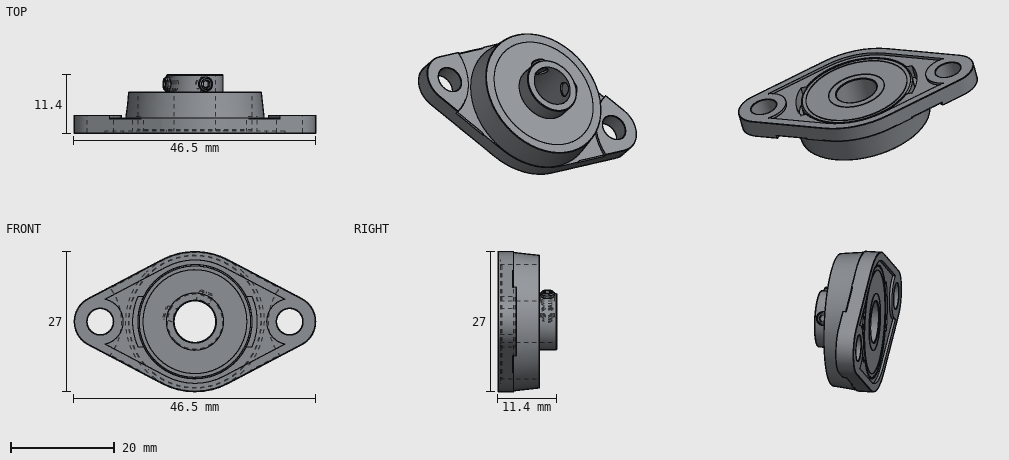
import cadquery as cq
import math

length = 46.5
centre_radius = 13.51
end_radius = 5.0
end_centre_x = length / 2 - end_radius
mounting_hole_places = (-end_centre_x, end_centre_x)
mounting_hole_diameter = 5.0
flange_thickness = 3.0
flange_back_chamfer = 0.25
unchamfered_radius = 14.28
edge_chamfer = 0.1

pad_thickness = 3.55
pad_inner_x = 14.15
pad_edge_radius = 10.8

pocket_depth = 0.5
rim_width = 1.65
land_radius = 4.4

boss_base_radius = 13.35
boss_top_radius = 12.8
boss_top_y = 8.0

slot_diameter = 24.0
slot_height = 9.65
slot_bottom_y = 3.25

bearing_diameter = 22.0
bearing_chamfer = 0.3
shaft_diameter = 8.0
collar_diameter = 10.9
bearing_face_y = 0.5
collar_end_y = 11.35
collar_chamfer = 0.15
seal_inner_diameter = 11.0
seal_outer_diameter = 20.0
seal_depth = 0.1
bore_chamfer = 0.15

screw_diameter = 2.7
screw_chamfer = 0.3
screw_y = 9.55
screw_outer_reach = 6.15
screw_inner_reach = shaft_diameter / 2 + 0.25
screw_angles = (68.5, 162.5)
hex_across_flats = 1.4
hex_depth = 0.95


def cylinder(radius, start_y, end_y, x=0.0):
    """A cylinder along Y between two Y positions."""
    disc = cq.Workplane("XZ", origin=(x, start_y, 0)).circle(radius)
    return disc.extrude(start_y - end_y)


def rhombus(inset, start_y, end_y):
    """The rounded rhombus, moved in by an inset, between two Y positions."""
    big = centre_radius - inset
    small = end_radius - inset
    sine = (big - small) / end_centre_x
    cosine = math.sqrt(1 - sine**2)
    big_x, big_z = big * sine, big * cosine
    small_x, small_z = end_centre_x + small * sine, small * cosine
    return (
        cq.Workplane("XZ", origin=(0, start_y, 0))
        .moveTo(-big_x, big_z)
        .threePointArc((0, big), (big_x, big_z))
        .lineTo(small_x, small_z)
        .threePointArc((end_centre_x + small, 0), (small_x, -small_z))
        .lineTo(big_x, -big_z)
        .threePointArc((0, -big), (-big_x, -big_z))
        .lineTo(-small_x, -small_z)
        .threePointArc((-end_centre_x - small, 0), (-small_x, small_z))
        .close()
        .extrude(start_y - end_y)
    )


def make_plate():
    """The flange plate, with chamfered rims and a thicker pad at each end."""
    full_plate = rhombus(0, 0, flange_thickness)
    plate = full_plate.faces(">Y").edges().chamfer(flange_back_chamfer)
    plate = plate.union(full_plate.intersect(cylinder(unchamfered_radius, 0, flange_thickness)))

    thick_plate = rhombus(0, 0, pad_thickness).faces(">Y").edges().chamfer(edge_chamfer)
    for side in (-1, 1):
        pad_centre_x = side * (pad_inner_x + pad_edge_radius)
        plate = plate.union(thick_plate.intersect(cylinder(pad_edge_radius, 0, pad_thickness, pad_centre_x)))

    return plate.intersect(rhombus(0, 0, pad_thickness).faces("<Y").edges().chamfer(edge_chamfer))


def make_boss():
    profile = [
        (0, 0),
        (boss_base_radius, 0),
        (boss_base_radius, flange_thickness),
        (boss_top_radius, boss_top_y),
        (0, boss_top_y),
    ]
    boss = cq.Workplane("XY").polyline(profile).close().revolve(360, (0, 0, 0), (0, 1, 0))
    return boss.faces(">Y").edges().chamfer(edge_chamfer)


def make_mounting_hole(x):
    """The cutter for a mounting hole, widened to chamfer both of its ends."""
    hole_radius = mounting_hole_diameter / 2
    flared_radius = hole_radius + edge_chamfer
    profile = [
        (0, 0),
        (flared_radius, 0),
        (hole_radius, edge_chamfer),
        (hole_radius, pad_thickness - edge_chamfer),
        (flared_radius, pad_thickness),
        (0, pad_thickness),
    ]
    cutter = cq.Workplane("XY").polyline(profile).close().revolve(360, (0, 0, 0), (0, 1, 0))
    return cutter.translate((x, 0, 0))


def make_front_pocket():
    """The shallow pocket inside the rim, leaving the round lands at the mounting holes."""
    pocket = rhombus(rim_width, 0, pocket_depth)
    for x in mounting_hole_places:
        pocket = pocket.cut(cylinder(land_radius, 0, pocket_depth, x))
    return pocket


def make_loading_slots():
    slot_band = cq.Workplane("XY").box(slot_diameter, 2 * slot_bottom_y, slot_height)
    return cylinder(slot_diameter / 2, 0, slot_bottom_y).intersect(slot_band)


def make_housing():
    body = make_plate().union(make_boss())
    body = body.cut(make_front_pocket()).cut(make_loading_slots())
    for x in mounting_hole_places:
        body = body.cut(make_mounting_hole(x))
    return body.cut(cylinder(bearing_diameter / 2, 0, boss_top_y))


def make_screw(angle):
    """A set screw pointing out of the collar at an angle from +X toward +Z."""
    screw_length = screw_outer_reach - screw_inner_reach
    screw = (
        cq.Workplane("YZ", origin=(screw_inner_reach, screw_y, 0))
        .circle(screw_diameter / 2)
        .extrude(screw_length)
        .faces(">X")
        .chamfer(screw_chamfer)
        .faces(">X")
        .workplane()
        .polygon(6, hex_across_flats / math.cos(math.pi / 6))
        .cutBlind(-hex_depth)
    )
    return screw.rotate((0, 0, 0), (0, 1, 0), -angle)


def make_screw_hole(angle):
    hole = cq.Workplane("YZ", origin=(0, screw_y, 0)).circle(screw_diameter / 2).extrude(screw_outer_reach)
    return hole.rotate((0, 0, 0), (0, 1, 0), -angle)


def make_bearing():
    ring = cylinder(bearing_diameter / 2, bearing_face_y, boss_top_y)
    ring = ring.faces("<Y").edges().chamfer(bearing_chamfer)
    collar = cylinder(collar_diameter / 2, bearing_face_y, collar_end_y)
    collar = collar.faces(">Y").edges().chamfer(collar_chamfer)
    bore = cylinder(shaft_diameter / 2, bearing_face_y, collar_end_y)
    body = ring.union(collar).cut(bore)
    body = body.faces("<Y").edges("%CIRCLE").edges(cq.selectors.RadiusNthSelector(0)).chamfer(bore_chamfer)

    seal_bottom_y = bearing_face_y + seal_depth
    seal_island = cylinder(seal_inner_diameter / 2, bearing_face_y, seal_bottom_y)
    body = body.cut(cylinder(seal_outer_diameter / 2, bearing_face_y, seal_bottom_y).cut(seal_island))
    for angle in screw_angles:
        body = body.cut(make_screw_hole(angle))
    return body


housing = make_housing()
bearing = make_bearing()
screws = [make_screw(angle) for angle in screw_angles]

result = cq.Compound.makeCompound([housing.val(), bearing.val(), *[screw.val() for screw in screws]])